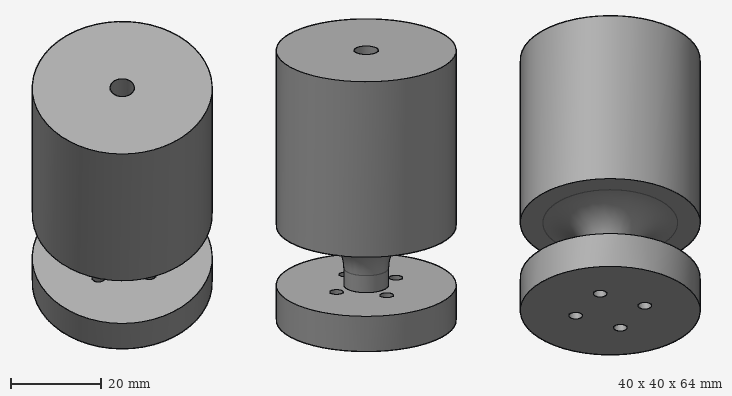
import cadquery as cq

total_height = 64.0
outer_diameter = 40.0

flange_thickness = 8.4
mount_hole_diameter = 3.0
mount_hole_radius = 8.0
mount_hole_count = 4

neck_diameter = 10.0
neck_straight_height = 4.0
flare_radius = 10.0

top_hole_diameter = 5.4
top_hole_depth = 20.0

outer_radius = outer_diameter / 2
neck_radius = neck_diameter / 2
flare_bottom = flange_thickness + neck_straight_height
body_bottom = flare_bottom + flare_radius


def make_turned_body():
    """Revolve the flange, the flared neck and the cylindrical body about Z."""
    profile = (
        cq.Workplane("XZ")
        .lineTo(outer_radius, 0)
        .lineTo(outer_radius, flange_thickness)
        .lineTo(neck_radius, flange_thickness)
        .lineTo(neck_radius, flare_bottom)
        .radiusArc((neck_radius + flare_radius, body_bottom), flare_radius)
        .lineTo(outer_radius, body_bottom)
        .lineTo(outer_radius, total_height)
        .lineTo(0, total_height)
        .close()
    )
    return profile.revolve(360, (0, 0, 0), (0, 1, 0))


def make_mount_holes():
    """Cylinders through the flange, on the X and Y axes."""
    return (
        cq.Workplane("XY")
        .polarArray(mount_hole_radius, 0, 360, mount_hole_count)
        .circle(mount_hole_diameter / 2)
        .extrude(flange_thickness)
    )


def make_top_hole():
    """Flat-bottomed cylinder sunk from the top face."""
    return (
        cq.Workplane("XY")
        .workplane(offset=total_height - top_hole_depth)
        .circle(top_hole_diameter / 2)
        .extrude(top_hole_depth)
    )


result = make_turned_body().cut(make_mount_holes()).cut(make_top_hole())